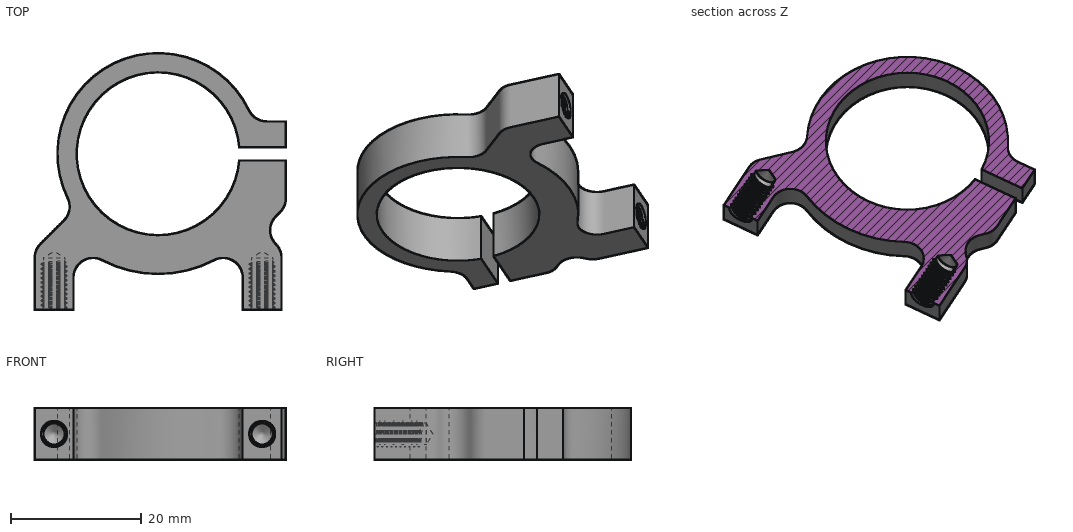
import math

import cadquery as cq

THICKNESS = 8.0
BORE_RADIUS = 12.5
RING_RADIUS = 15.5
SADDLE_RADIUS = 18.5
BLEND = 3.0

LEG_OUTER = 19.0
LEG_WIDTH = 6.0
LEG_INNER = LEG_OUTER - LEG_WIDTH
LEG_CENTER = LEG_OUTER - LEG_WIDTH / 2
LEG_FOOT = -24.0
LEG_SIDE_HEIGHT = 8.0

LUG_END = 19.66
LUG_TOP = 5.0
SLIT_WIDTH = 2.0

TAP_DRILL_RADIUS = 3.3 / 2
THREAD_RADIUS = 4.0 / 2
THREAD_PITCH = 0.7
THREAD_ROOT_WIDTH = 0.1
THREAD_MOUTH_WIDTH = 0.6
THREAD_OVERLAP = 0.05
LEAD_IN = THREAD_RADIUS - TAP_DRILL_RADIUS
DRILL_DEPTH = 8.0
DRILL_POINT_ANGLE = 118.0


def polar(center, radius, degrees):
    """Point on a circle at the given angle from +X."""
    angle = math.radians(degrees)
    return (center[0] + radius * math.cos(angle), center[1] + radius * math.sin(angle))


def arc_through(path, center, radius, start, end):
    """Continue the path along a circle from the start angle to the end angle."""
    middle = polar(center, radius, (start + end) / 2)
    return path.threePointArc(middle, polar(center, radius, end))


def make_body():
    """Outer outline, drawn counterclockwise from the left foot and extruded."""
    bay_x = LEG_INNER - BLEND
    bay_y = -math.sqrt((SADDLE_RADIUS + BLEND) ** 2 - bay_x**2)
    bay_left = (-bay_x, bay_y)
    bay_right = (bay_x, bay_y)
    saddle_angle = math.degrees(math.atan2(bay_y, bay_x))

    shoulder_y = LEG_FOOT + LEG_SIDE_HEIGHT
    shoulder_left = (-(LEG_OUTER - BLEND), shoulder_y)
    shoulder_right = (LEG_OUTER - BLEND, shoulder_y)

    notch = polar(shoulder_right, 2 * BLEND, 45)
    notch_end = polar(notch, BLEND, 135)

    lug_corner_x = LUG_END - BLEND
    lug_line_start_x = polar((lug_corner_x, 0), BLEND, -45)[0]
    lug_line_rise = lug_line_start_x - notch_end[0]
    lug_corner_y = notch_end[1] + lug_line_rise + BLEND * math.sin(math.radians(45))
    lug_corner = (lug_corner_x, lug_corner_y)

    blend_reach = RING_RADIUS + BLEND
    lug_root_y = LUG_TOP + BLEND
    lug_root = (math.sqrt(blend_reach**2 - lug_root_y**2), lug_root_y)
    lug_root_angle = math.degrees(math.atan2(lug_root[1], lug_root[0]))

    offset = shoulder_left[1] - shoulder_left[0] + 2 * BLEND * math.sqrt(2)
    waist_x = -(offset + math.sqrt(2 * blend_reach**2 - offset**2)) / 2
    waist = (waist_x, waist_x + offset)
    waist_angle = math.degrees(math.atan2(waist[1], waist[0])) + 360

    path = cq.Workplane("XY").moveTo(-LEG_OUTER, LEG_FOOT)
    path = path.lineTo(-LEG_INNER, LEG_FOOT).lineTo(-LEG_INNER, bay_y)
    path = arc_through(path, bay_left, BLEND, 180, -saddle_angle)
    path = arc_through(path, (0, 0), SADDLE_RADIUS, -180 - saddle_angle, saddle_angle)
    path = arc_through(path, bay_right, BLEND, 180 + saddle_angle, 0)
    path = path.lineTo(LEG_INNER, LEG_FOOT).lineTo(LEG_OUTER, LEG_FOOT)
    path = path.lineTo(LEG_OUTER, shoulder_y)
    path = arc_through(path, shoulder_right, BLEND, 0, 45)
    path = arc_through(path, notch, BLEND, 225, 135)
    path = path.lineTo(*polar(lug_corner, BLEND, -45))
    path = arc_through(path, lug_corner, BLEND, -45, 0)
    path = path.lineTo(LUG_END, LUG_TOP).lineTo(lug_root[0], LUG_TOP)
    path = arc_through(path, lug_root, BLEND, 270, 180 + lug_root_angle)
    path = arc_through(path, (0, 0), RING_RADIUS, lug_root_angle, waist_angle)
    path = arc_through(path, waist, BLEND, waist_angle - 180, -45)
    path = path.lineTo(*polar(shoulder_left, BLEND, 135))
    path = arc_through(path, shoulder_left, BLEND, 135, 180)
    return path.close().extrude(THICKNESS)


def make_bore_and_slit():
    """Cutter for the round bore and the slit that splits the lugs."""
    bore = cq.Workplane("XY").circle(BORE_RADIUS).extrude(THICKNESS)
    slit = cq.Workplane("XY").rect(LUG_END, SLIT_WIDTH).extrude(THICKNESS)
    return bore.union(slit.translate((LUG_END / 2, 0, 0)))


def make_tapped_hole():
    """Cutter for one blind threaded hole, entering at Z = 0 and running along +Z."""
    point_height = TAP_DRILL_RADIUS / math.tan(math.radians(DRILL_POINT_ANGLE / 2))
    drill = (
        cq.Workplane("XZ")
        .polyline([
            (0, 0),
            (THREAD_RADIUS, 0),
            (TAP_DRILL_RADIUS, LEAD_IN),
            (TAP_DRILL_RADIUS, DRILL_DEPTH),
            (0, DRILL_DEPTH + point_height),
        ])
        .close()
        .revolve(360, (0, 0), (0, 1))
    )

    groove_inner = TAP_DRILL_RADIUS - THREAD_OVERLAP
    groove_length = DRILL_DEPTH - LEAD_IN - THREAD_PITCH
    helix = cq.Wire.makeHelix(THREAD_PITCH, groove_length, TAP_DRILL_RADIUS)
    groove = (
        cq.Workplane("XZ")
        .polyline([
            (groove_inner, -THREAD_MOUTH_WIDTH / 2),
            (THREAD_RADIUS, -THREAD_ROOT_WIDTH / 2),
            (THREAD_RADIUS, THREAD_ROOT_WIDTH / 2),
            (groove_inner, THREAD_MOUTH_WIDTH / 2),
        ])
        .close()
        .sweep(cq.Workplane(helix), isFrenet=True)
        .translate((0, 0, LEAD_IN))
    )
    return drill.union(groove)


def place_in_foot(cutter, leg_x):
    """Turn a hole cutter to run along +Y from the middle of a foot."""
    turned = cutter.rotate((0, 0, 0), (1, 0, 0), -90)
    return turned.translate((leg_x, LEG_FOOT, THICKNESS / 2))


clamp = make_body().cut(make_bore_and_slit())
tapped_hole = make_tapped_hole()
for leg_x in (-LEG_CENTER, LEG_CENTER):
    clamp = clamp.cut(place_in_foot(tapped_hole, leg_x))

result = clamp.solids()